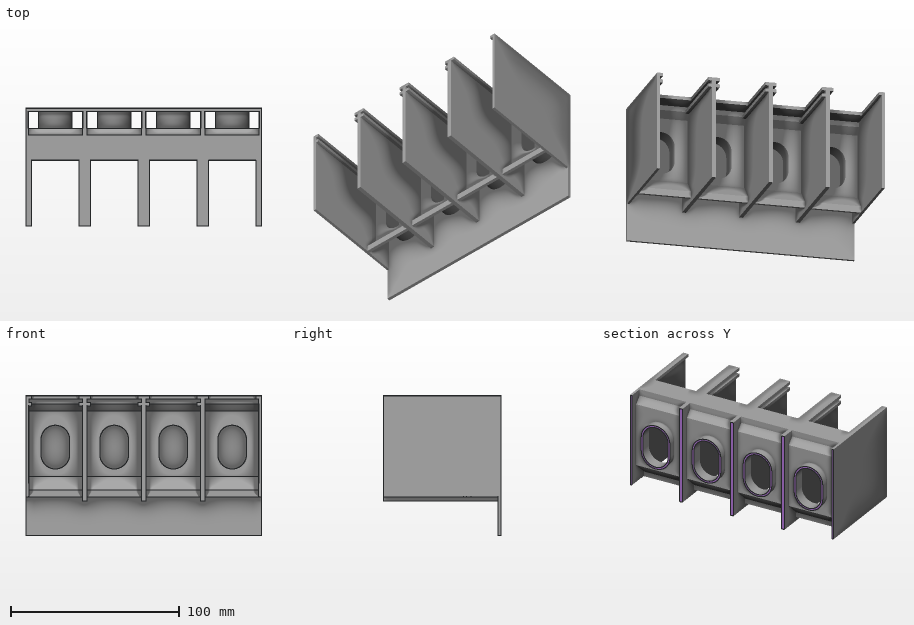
import cadquery as cq
import math

length = 140.0
depth = 70.0
height = 83.0

bay_count = 4
grooved_bay_count = bay_count - 1
pitch = length / bay_count

divider_thickness = 2.5
divider_height = 62.5
end_wall_height = 60.0
end_wall_thickness = 1.75
end_wall_rear_thickness = 1.5

sheet = 2.0

rail_width = 7.0
rail_thickness = 2.0
rail_gap = 2.0

top_plate_front = 31.0
panel_front = 14.0

upper_bend_drop = 5.0
upper_bend_height = 4.0
upper_bend_reach = 4.0
lower_bend_drop = 48.0
lower_bend_height = 8.0
lower_bend_reach = 8.5

window_width = 17.0
window_height = 26.0
window_center_drop = 30.5
boss_wall = 1.5

left_x = -length / 2
right_x = length / 2
front_y = -depth / 2
rear_y = depth / 2
bottom_z = -height / 2
top_z = height / 2

panel_front_y = rear_y - panel_front
panel_top_y = panel_front_y - upper_bend_reach
panel_foot_y = panel_front_y - lower_bend_reach


def block(x_min, x_max, y_min, y_max, z_min, z_max):
    """Axis-aligned box between the given limits."""
    size = (x_max - x_min, y_max - y_min, z_max - z_min)
    return cq.Workplane("XY").box(*size, centered=False).translate((x_min, y_min, z_min))


def rail(x_min, x_max, drop):
    """Strip running from the panel to the front edge, its top the given drop below the top face."""
    rail_top = top_z - drop
    return block(x_min, x_max, front_y, panel_top_y, rail_top - rail_thickness, rail_top)


def divider_web(x):
    """Plain upright plate between two bays, centred on x."""
    half = divider_thickness / 2
    return block(x - half, x + half, front_y, rear_y, top_z - divider_height, top_z)


def end_web(x):
    """Plate centred on an end face x, so that only its inner half lies within the part.

    It is slightly thinner behind the panel than in front of it.
    """
    front = end_wall_thickness
    rear = end_wall_rear_thickness
    wall_bottom = top_z - end_wall_height
    front_web = block(x - front, x + front, front_y, panel_top_y, wall_bottom, top_z)
    rear_web = block(x - rear, x + rear, panel_top_y, rear_y, wall_bottom, top_z)
    return front_web.union(rear_web)


def wall(index):
    """Upright wall with a top flange, and a rib on each side that faces a grooved bay."""
    x = left_x + index * pitch
    half_rail = rail_width / 2
    rib_drop = rail_thickness + rail_gap

    body = end_web(x) if index in (0, bay_count) else divider_web(x)
    body = body.union(rail(x - half_rail, x + half_rail, 0))
    if index < grooved_bay_count:
        body = body.union(rail(x, x + half_rail, rib_drop))
    if 0 < index <= grooved_bay_count:
        body = body.union(rail(x - half_rail, x, rib_drop))
    return body


def miter_shift(bend_reach, bend_height):
    """Vertical offset between the front and rear corners where the sheet bends out of vertical."""
    bend_angle = math.atan2(bend_reach, bend_height)
    return sheet * math.tan(bend_angle / 2)


def bent_panel():
    """Sheet of constant thickness that steps forward at its top and at its foot."""
    upper_shift = miter_shift(upper_bend_reach, upper_bend_height)
    lower_shift = miter_shift(lower_bend_reach, lower_bend_height)
    upper_start = top_z - upper_bend_drop
    upper_end = upper_start - upper_bend_height
    lower_start = top_z - lower_bend_drop
    lower_end = lower_start - lower_bend_height
    foot_z = top_z - end_wall_height
    outline = [
        (panel_top_y, top_z),
        (panel_top_y, upper_start),
        (panel_front_y, upper_end),
        (panel_front_y, lower_start),
        (panel_foot_y, lower_end),
        (panel_foot_y, foot_z),
        (panel_foot_y + sheet, foot_z),
        (panel_foot_y + sheet, lower_end - lower_shift),
        (panel_front_y + sheet, lower_start - lower_shift),
        (panel_front_y + sheet, upper_end + upper_shift),
        (panel_top_y + sheet, upper_start + upper_shift),
        (panel_top_y + sheet, top_z),
    ]
    profile = cq.Workplane("YZ").polyline(outline).close()
    return profile.extrude(length / 2, both=True)


def oblong(x, margin):
    """Upright oblong prism from panel front to rear wall, larger than the window by the margin."""
    prism_rear_y = rear_y - sheet
    plane = cq.Workplane("XZ", origin=(x, prism_rear_y, top_z - window_center_drop))
    outline = plane.slot2D(window_height + 2 * margin, window_width + 2 * margin, 90)
    return outline.extrude(prism_rear_y - panel_front_y)


def rear_wall():
    """Full-height plate at the rear."""
    return block(left_x, right_x, rear_y - sheet, rear_y, bottom_z, top_z)


def top_plate():
    """Strip bridging all the bays, from the top of the bent panel forward."""
    return block(left_x, right_x, rear_y - top_plate_front, panel_top_y + sheet, top_z - sheet, top_z)


def build():
    body = rear_wall().union(top_plate()).union(bent_panel())

    for index in range(bay_count + 1):
        body = body.union(wall(index))

    for index in range(bay_count):
        bay_center_x = left_x + (index + 0.5) * pitch
        body = body.union(oblong(bay_center_x, boss_wall))
        body = body.cut(oblong(bay_center_x, 0))

    return body.intersect(block(left_x, right_x, front_y, rear_y, bottom_z, top_z))


result = build()